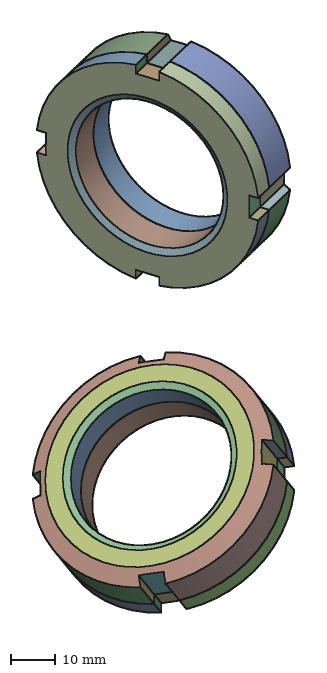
import cadquery as cq
import math

OVERALL_WIDTH = 57.7
TOTAL_THICKNESS = 17.0
FRONT_RIM_THICKNESS = 5.0
SPIGOT_END = 9.0
FACE_GAP = 0.1

BORE_RADIUS = 19.2
BORE_CHAMFER_RADIAL = 1.6
BORE_CHAMFER_ANGLE = 30.0

SLOT_COUNT = 4
SLOT_WIDTH = 6.0
SLOT_FLOOR_RADIUS = 26.5

BACK_CHAMFER_RADIAL = 4.0
BACK_CHAMFER_ANGLE = 30.0

BACK_RIM_START = FRONT_RIM_THICKNESS + FACE_GAP
RECESS_FLOOR = SPIGOT_END + FACE_GAP

OUTER_RADIUS = math.hypot(OVERALL_WIDTH / 2, SLOT_WIDTH / 2)
SLOT_DEPTH = OUTER_RADIUS - SLOT_FLOOR_RADIUS
SPIGOT_RADIUS = (BORE_RADIUS + SLOT_FLOOR_RADIUS) / 2
BORE_CHAMFER_DEPTH = BORE_CHAMFER_RADIAL * math.tan(math.radians(BORE_CHAMFER_ANGLE))
BACK_CHAMFER_DEPTH = BACK_CHAMFER_RADIAL * math.tan(math.radians(BACK_CHAMFER_ANGLE))


def revolve_about_y(profile):
    """Revolve a closed list of (radius, y) points about the Y axis."""
    return cq.Workplane("XY").polyline(profile).close().revolve(360, (0, 0, 0), (0, 1, 0))


def cut_slots(nut):
    """Cut the spanner slots, equally spaced and running through the full thickness."""
    for index in range(SLOT_COUNT):
        slot = (
            cq.Workplane("XY")
            .box(SLOT_DEPTH, TOTAL_THICKNESS, SLOT_WIDTH, centered=(False, False, True))
            .translate((SLOT_FLOOR_RADIUS, 0, 0))
            .rotate((0, 0, 0), (0, 1, 0), index * 360 / SLOT_COUNT)
        )
        nut = nut.cut(slot)
    return nut


def make_front_nut():
    """Slotted flange with a chamfered bore entry and a spigot at the back."""
    profile = [
        (BORE_RADIUS + BORE_CHAMFER_RADIAL, 0),
        (OUTER_RADIUS, 0),
        (OUTER_RADIUS, FRONT_RIM_THICKNESS),
        (SPIGOT_RADIUS, FRONT_RIM_THICKNESS),
        (SPIGOT_RADIUS, SPIGOT_END),
        (BORE_RADIUS, SPIGOT_END),
        (BORE_RADIUS, BORE_CHAMFER_DEPTH),
    ]
    return cut_slots(revolve_about_y(profile))


def make_back_nut():
    """Slotted ring with a recess for the spigot and chamfered back edges."""
    profile = [
        (SPIGOT_RADIUS, BACK_RIM_START),
        (OUTER_RADIUS, BACK_RIM_START),
        (OUTER_RADIUS, TOTAL_THICKNESS - BACK_CHAMFER_DEPTH),
        (OUTER_RADIUS - BACK_CHAMFER_RADIAL, TOTAL_THICKNESS),
        (BORE_RADIUS + BORE_CHAMFER_RADIAL, TOTAL_THICKNESS),
        (BORE_RADIUS, TOTAL_THICKNESS - BORE_CHAMFER_DEPTH),
        (BORE_RADIUS, RECESS_FLOOR),
        (SPIGOT_RADIUS, RECESS_FLOOR),
    ]
    return cut_slots(revolve_about_y(profile))


front_nut = make_front_nut()
back_nut = make_back_nut()

result = cq.Compound.makeCompound([front_nut.val(), back_nut.val()])